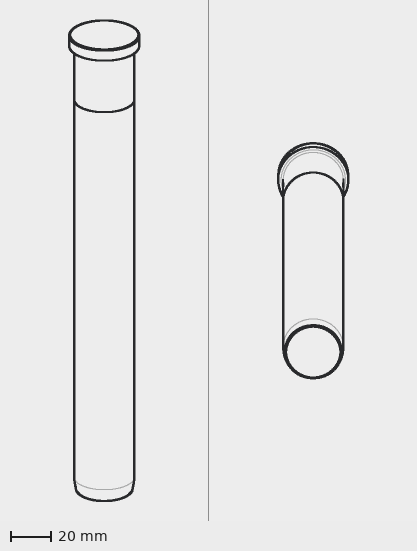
import cadquery as cq

total_length = 250.0
shank_radius = 15.0

flange_radius = 17.5
flange_thickness = 6.0
rim_chamfer = 0.5
neck_fillet = 1.0
head_piece_length = 35.5

lead_in_length = 7.0
tip_radius = 14.0
tip_chamfer = 0.5

joint_height = total_length - head_piece_length
flange_bottom = total_length - flange_thickness


def lead_in_arc_radius():
    """Radius of the arc that leaves the shank tangentially and ends at the tip radius."""
    inset = shank_radius - tip_radius
    return (lead_in_length**2 + inset**2) / (2 * inset)


def make_head_piece():
    """Flange with a chamfered top rim, and upper shank, joined by a small fillet under the flange."""
    profile = (
        cq.Workplane("XZ")
        .moveTo(0, joint_height)
        .lineTo(shank_radius, joint_height)
        .lineTo(shank_radius, flange_bottom - neck_fillet)
        .radiusArc((shank_radius + neck_fillet, flange_bottom), neck_fillet)
        .lineTo(flange_radius, flange_bottom)
        .lineTo(flange_radius, total_length - rim_chamfer)
        .lineTo(flange_radius - rim_chamfer, total_length)
        .lineTo(0, total_length)
        .close()
    )
    return profile.revolve(360, (0, 0, 0), (0, 1, 0))


def make_guide_shank():
    """Long cylinder whose lower end curves in to a small chamfered tip."""
    arc_radius = lead_in_arc_radius()
    arc_center_radius = shank_radius - arc_radius
    middle_drop = lead_in_length / 2
    arc_middle_radius = arc_center_radius + (arc_radius**2 - middle_drop**2) ** 0.5
    profile = (
        cq.Workplane("XZ")
        .moveTo(0, 0)
        .lineTo(tip_radius, 0)
        .threePointArc((arc_middle_radius, lead_in_length - middle_drop), (shank_radius, lead_in_length))
        .lineTo(shank_radius, joint_height)
        .lineTo(0, joint_height)
        .close()
    )
    shank = profile.revolve(360, (0, 0, 0), (0, 1, 0))
    return shank.faces("<Z").edges().chamfer(tip_chamfer)


head_piece = make_head_piece()
guide_shank = make_guide_shank()

result = cq.Compound.makeCompound([head_piece.val(), guide_shank.val()])